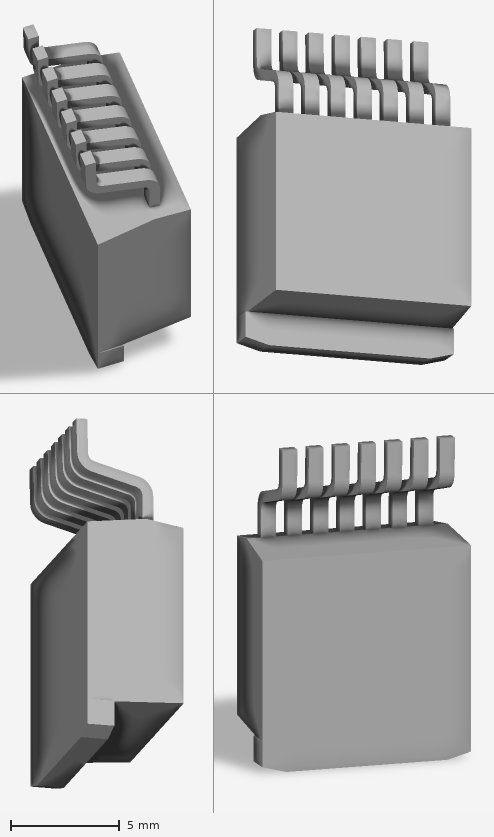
import cadquery as cq
import math

OVERALL_HEIGHT = 15.24
PACKAGE_WIDTH = 10.1

BODY_DEPTH = 4.66
BODY_BACK_WIDTH = 9.48
BODY_BOTTOM = 1.51
BODY_BACK_BOTTOM = 1.75
BODY_FRONT_TOP = 10.03
BODY_BACK_TOP = 10.18
RIDGE_Y = 2.85
RIDGE_TOP = 10.44

TAB_THICKNESS = 1.28
TAB_CORNER_WIDTH = 1.15
TAB_CORNER_HEIGHT = 0.3
TAB_NECK_WIDTH = 7.01
TAB_NECK_TOP = 3.06
TAB_PAD_WIDTH = 7.6
TAB_PAD_TOP = 7.7

LEAD_COUNT = 7
LEAD_ROW_SPAN = 7.62
LEAD_PITCH = LEAD_ROW_SPAN / (LEAD_COUNT - 1)
LEAD_WIDTH = 0.72
LEAD_THICKNESS = 0.52
LEAD_INNER_RADIUS = 0.41
LEAD_ROOT_FRONT_Y = RIDGE_Y
LEAD_FIRST_BEND_Z = 11.77
LEAD_OVERHANG = 0.29
SLANT_ANGLE = math.radians(75)
TIP_ANGLE = math.radians(1.5)


def make_tab():
    """T-shaped plate: a full-width end bar, a neck and a wider pad."""
    half_bar = PACKAGE_WIDTH / 2
    half_neck = TAB_NECK_WIDTH / 2
    half_pad = TAB_PAD_WIDTH / 2
    right_side = [
        (half_bar - TAB_CORNER_WIDTH, 0),
        (half_bar, TAB_CORNER_HEIGHT),
        (half_bar, BODY_BOTTOM),
        (half_neck, BODY_BOTTOM),
        (half_neck, TAB_NECK_TOP),
        (half_pad, TAB_NECK_TOP),
        (half_pad, TAB_PAD_TOP),
    ]
    left_side = [(-x, z) for x, z in reversed(right_side)]
    return cq.Workplane("XZ").polyline(right_side + left_side).close().extrude(-TAB_THICKNESS)


def make_body(tab):
    """Block with tapered sides, a ridged top and a recess that the heat tab fills."""
    side_profile = (
        cq.Workplane("YZ")
        .polyline([
            (0, BODY_BOTTOM),
            (TAB_THICKNESS, BODY_BOTTOM),
            (BODY_DEPTH, BODY_BACK_BOTTOM),
            (BODY_DEPTH, BODY_BACK_TOP),
            (RIDGE_Y, RIDGE_TOP),
            (0, BODY_FRONT_TOP),
        ])
        .close()
        .extrude(PACKAGE_WIDTH / 2, both=True)
    )
    tapered_plan = (
        cq.Workplane("XY")
        .polyline([
            (-PACKAGE_WIDTH / 2, 0),
            (PACKAGE_WIDTH / 2, 0),
            (BODY_BACK_WIDTH / 2, BODY_DEPTH),
            (-BODY_BACK_WIDTH / 2, BODY_DEPTH),
        ])
        .close()
        .extrude(OVERALL_HEIGHT)
    )
    return side_profile.intersect(tapered_plan).cut(tab).solids()


def make_lead(x, body):
    """Bent strip swept along its centre line, its foot trimmed to the body's sloping top."""
    half_thickness = LEAD_THICKNESS / 2
    bend_radius = LEAD_INNER_RADIUS + half_thickness
    root_y = LEAD_ROOT_FRONT_Y + half_thickness

    slant_start_y = root_y - bend_radius * (1 - math.cos(SLANT_ANGLE))
    slant_start_z = LEAD_FIRST_BEND_Z + bend_radius * math.sin(SLANT_ANGLE)

    tip_y = half_thickness * math.cos(TIP_ANGLE) - LEAD_OVERHANG
    tip_z = OVERALL_HEIGHT - half_thickness * math.sin(TIP_ANGLE)

    gap_y = slant_start_y - tip_y - bend_radius * (math.cos(TIP_ANGLE) - math.cos(SLANT_ANGLE))
    gap_z = tip_z - slant_start_z - bend_radius * (math.sin(SLANT_ANGLE) - math.sin(TIP_ANGLE))
    slant_length = (
        (gap_y * math.cos(TIP_ANGLE) - gap_z * math.sin(TIP_ANGLE))
        / math.sin(SLANT_ANGLE - TIP_ANGLE)
    )
    slant_end_y = slant_start_y - slant_length * math.sin(SLANT_ANGLE)
    slant_end_z = slant_start_z + slant_length * math.cos(SLANT_ANGLE)
    bend_end_y = slant_end_y - bend_radius * (math.cos(TIP_ANGLE) - math.cos(SLANT_ANGLE))
    bend_end_z = slant_end_z + bend_radius * (math.sin(SLANT_ANGLE) - math.sin(TIP_ANGLE))

    centre_line = (
        cq.Workplane("YZ", origin=(x, 0, 0))
        .moveTo(root_y, BODY_BACK_TOP)
        .lineTo(root_y, LEAD_FIRST_BEND_Z)
        .tangentArcPoint((slant_start_y, slant_start_z), relative=False)
        .lineTo(slant_end_y, slant_end_z)
        .tangentArcPoint((bend_end_y, bend_end_z), relative=False)
        .lineTo(tip_y, tip_z)
    )
    strip = (
        cq.Workplane("XY", origin=(x, root_y, BODY_BACK_TOP))
        .rect(LEAD_WIDTH, LEAD_THICKNESS)
        .sweep(centre_line)
    )
    return strip.cut(body).solids()


tab = make_tab()
body = make_body(tab)
leads = []
for index in range(LEAD_COUNT):
    lead_x = index * LEAD_PITCH - LEAD_ROW_SPAN / 2
    leads.append(make_lead(lead_x, body).val())

result = cq.Compound.makeCompound([body.val(), tab.val(), *leads])